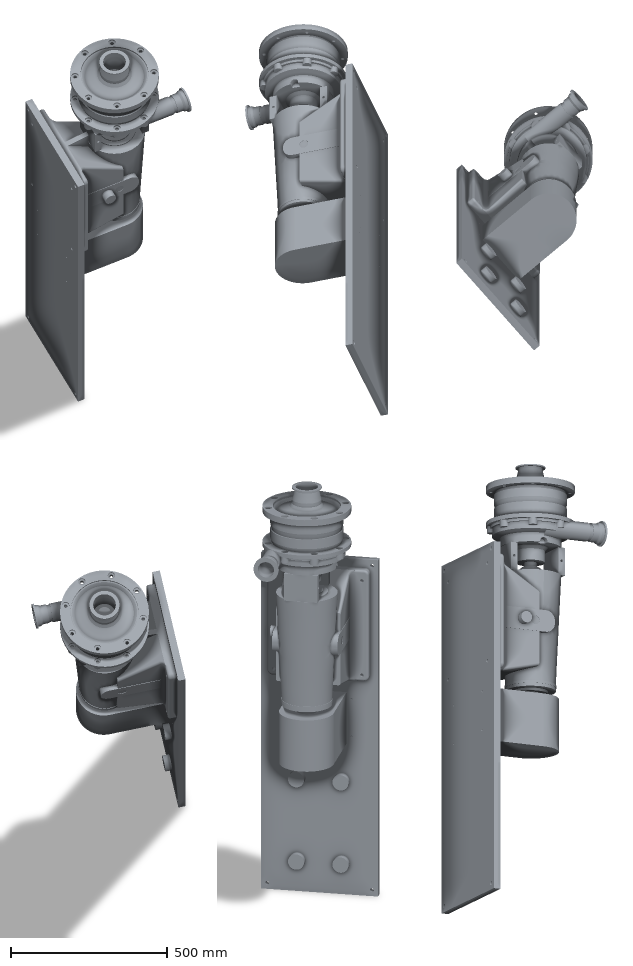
import cadquery as cq
import math


PLATE_WIDTH = 382.0
PLATE_HEIGHT = 1144.0
PLATE_THICKNESS = 23.0
PLATE_FACE_Y = -200.0
PLATE_BACK_Y = PLATE_FACE_Y - PLATE_THICKNESS

CORNER_HOLE_RADIUS = 6.5
CORNER_HOLE_X = 171.0
CORNER_HOLE_INSET_Z = 20.0

FOOT_HOLE_RADIUS = 6.0
FOOT_HOLE_X = 144.0
FOOT_HOLE_ZS = (759.0, 1080.0)

GUARD_HOLE_RADIUS = 3.0
GUARD_HOLE_X = 105.0
GUARD_HOLE_ZS = (538.0, 666.0)

GUARD_RADIUS = 89.0
GUARD_ARC_Y = 3.0
GUARD_BOTTOM_Z = 514.0
GUARD_TOP_Z = 688.0

PAD_RADIUS = 26.0
PAD_HEIGHT = 22.0
PAD_X = 73.0
PAD_ZS = (106.0, 386.0)

PUMP_TOP_Z = 1451.0
INLET_FLANGE_RADIUS = 48.0
INLET_FLANGE_THICKNESS = 5.0
INLET_NECK_RADIUS = 39.0
INLET_CONE_TOP_Z = 1441.0
INLET_CONE_BOTTOM_Z = 1409.0
INLET_BASE_RADIUS = 46.0
INLET_BORE_RADIUS = 36.0
INLET_BORE_DEPTH = 87.0
SHAFT_NUT_RADIUS = 20.0
SHAFT_NUT_HEIGHT = 15.0

FLANGE_RADIUS = 142.0
COVER_TOP_Z = 1387.0
COVER_BOTTOM_Z = 1367.0
HUB_RADIUS = 55.0
DISH_OUTER_RADIUS = 109.0
DISH_LEDGE_RADIUS = 105.0
DISH_LEDGE_DEPTH = 6.0
DISH_FLOOR_RADIUS = 95.0
DISH_DEPTH = 13.0

BODY_RADIUS = 118.0
BODY_NECK_RADIUS = 113.0
BODY_TOP_NECK_Z = 1357.0
BODY_UPPER_STEP_Z = 1330.0
BODY_JOINT_Z = 1312.0
BODY_LOWER_STEP_Z = 1280.0
CASING_FLANGE_TOP_Z = 1267.0
CASING_FLANGE_BOTTOM_Z = 1254.0
CASING_RIM_RADIUS = 130.0
CASING_RIM_BOTTOM_Z = 1245.0
CASING_RADIUS = 123.0
CASING_BOTTOM_Z = 1222.0

BOLT_COUNT = 8
BOLT_CIRCLE_RADIUS = 126.0
BOLT_HOLE_RADIUS = 6.0
COUNTERBORE_RADIUS = 12.0
COUNTERBORE_DEPTH = 6.0
LUG_RADIUS = 15.0
LUG_CIRCLE_RADIUS = 125.0
LUG_BOTTOM_Z = 1232.0

ADAPTER_RADIUS = 99.0
ADAPTER_TOP_Z = 1215.0
ADAPTER_BOTTOM_Z = 1184.0
NOTCH_RADIUS = 13.0
NOTCH_Z = 1187.0
NOTCH_DEPTH = 22.0
SEAL_COLLAR_RADIUS = 57.0
SEAL_RADIUS = 46.0
SEAL_CHAMFER_Z = 1174.0
SEAL_BOTTOM_Z = 1136.0
SHAFT_RADIUS = 20.0
BEARING_CAP_TOP_Z = 1120.0
BEARING_CAP_SHOULDER_Z = 1112.0
BEARING_CAP_TOP_RADIUS = 28.0
BEARING_CAP_RADIUS = 39.0
BEARING_CAP_STEP_RADIUS = 52.0
BEARING_CAP_RIM_RADIUS = 68.0
BEARING_CAP_STEP_HEIGHT = 5.0

BARREL_TOP_Z = 1093.0
BARREL_TOP_RADIUS = 99.0
BARREL_BOTTOM_Z = 731.0
BARREL_BOTTOM_RADIUS = 81.0
END_COVER_STEP_Z = 723.0
END_COVER_STEP_RADIUS = 83.0
END_COVER_BOTTOM_Z = 713.0
REAR_CAP_RADIUS = 57.0
REAR_CAP_BOTTOM_Z = 704.0
REAR_SEAL_RADIUS = 38.0
REAR_SEAL_BOTTOM_Z = 697.0
REAR_SEAL_TIP_RADIUS = 32.0

LEG_OUTER_Y = 96.0
LEG_THICKNESS = 23.0
LEG_WIDTH = 110.0
LEG_HOLE_RADIUS = 5.0
LEG_HOLE_Z = 1140.0

OUTLET_X = 90.0
OUTLET_Z = 1235.0
OUTLET_END_Y = 210.0
OUTLET_FLANGE_RADIUS = 40.0
OUTLET_FLANGE_THICKNESS = 6.0
OUTLET_MOUTH_RADIUS = 35.0
OUTLET_MOUTH_Y = 195.0
OUTLET_CONE_Y = 187.0
OUTLET_RADIUS = 30.0
OUTLET_GROOVE_RADIUS = 28.0
OUTLET_GROOVE_Y = (155.0, 167.0)
OUTLET_BORE_RADIUS = 26.0
OUTLET_BORE_DEPTH = 87.0

FOOT_HALF_WIDTH = 165.0
FOOT_FACE_Y = -173.0
FOOT_BOTTOM_Z = 739.0
FOOT_TOP_Z = 1115.0
FOOT_CORNER_RADIUS = 15.0
FOOT_EDGE_RADIUS = 7.0
PEDESTAL_HALF_WIDTH = 106.0
PEDESTAL_FRONT_Y = -20.0
PEDESTAL_FRONT_BOTTOM_Z = 775.0
PEDESTAL_FRONT_TOP_Z = 1022.0
PEDESTAL_EDGE_RADIUS = 7.0
PEDESTAL_BLEND_RADIUS = 15.0

EAR_OUTER_X = 107.0
EAR_FRONT_Y = 35.0
EAR_BACK_Y = -163.0
EAR_BOTTOM_Z = 887.0
EAR_TOP_Z = 958.0
EAR_CORNER_RADIUS = 32.0
EAR_HOLE_RADIUS = 15.0
EAR_HOLE_DEPTH = 22.0
EAR_HOLE_Y = -35.0

PLUG_RADIUS = 19.0
PLUG_OUTER_X = 134.0
PLUG_Y = -78.0

RIB_THICKNESS = 17.0
RIB_FRONT_Y = -87.0
RIB_TOP_Z = 1128.0


def block(x_range, y_range, z_range):
    """Box between the given limits on each axis."""
    return cq.Workplane("XY").box(
        x_range[1] - x_range[0], y_range[1] - y_range[0], z_range[1] - z_range[0], centered=False
    ).translate((x_range[0], y_range[0], z_range[0]))


def cylinder_along_x(start_x, end_x, radius, y, z):
    return cq.Workplane(
        cq.Solid.makeCylinder(radius, end_x - start_x, cq.Vector(start_x, y, z), cq.Vector(1, 0, 0))
    )


def cylinder_along_y(x, z, radius, start_y, end_y):
    return cq.Workplane(
        cq.Solid.makeCylinder(radius, end_y - start_y, cq.Vector(x, start_y, z), cq.Vector(0, 1, 0))
    )


def cylinder_along_z(x, y, radius, start_z, end_z):
    return cq.Workplane(
        cq.Solid.makeCylinder(radius, end_z - start_z, cq.Vector(x, y, start_z), cq.Vector(0, 0, 1))
    )


def mirrored_points(x, z_values):
    """Points at +x and -x for each height."""
    return [(side * x, z) for side in (-1, 1) for z in z_values]


def bolt_positions(circle_radius):
    """Points on a circle about the pump axis, half a pitch away from the X axis."""
    pitch = 2 * math.pi / BOLT_COUNT
    angles = [(index + 0.5) * pitch for index in range(BOLT_COUNT)]
    return [(circle_radius * math.cos(angle), circle_radius * math.sin(angle)) for angle in angles]


def make_guard():
    """Coupling guard with a half-round crown and straight sides down to the plate."""
    return (
        cq.Workplane("XY", origin=(0, 0, GUARD_BOTTOM_Z))
        .moveTo(-GUARD_RADIUS, PLATE_FACE_Y)
        .lineTo(GUARD_RADIUS, PLATE_FACE_Y)
        .lineTo(GUARD_RADIUS, GUARD_ARC_Y)
        .threePointArc((0, GUARD_ARC_Y + GUARD_RADIUS), (-GUARD_RADIUS, GUARD_ARC_Y))
        .close()
        .extrude(GUARD_TOP_Z - GUARD_BOTTOM_Z)
    )


def make_base():
    half_width = PLATE_WIDTH / 2
    base = block((-half_width, half_width), (PLATE_BACK_Y, PLATE_FACE_Y), (0, PLATE_HEIGHT))
    base = base.union(make_guard())
    for x, z in mirrored_points(PAD_X, PAD_ZS):
        base = base.union(cylinder_along_y(x, z, PAD_RADIUS, PLATE_FACE_Y, PLATE_FACE_Y + PAD_HEIGHT))

    corner_hole_zs = (CORNER_HOLE_INSET_Z, PLATE_HEIGHT - CORNER_HOLE_INSET_Z)
    hole_groups = (
        (CORNER_HOLE_X, corner_hole_zs, CORNER_HOLE_RADIUS),
        (FOOT_HOLE_X, FOOT_HOLE_ZS, FOOT_HOLE_RADIUS),
        (GUARD_HOLE_X, GUARD_HOLE_ZS, GUARD_HOLE_RADIUS),
    )
    for hole_x, hole_zs, radius in hole_groups:
        for x, z in mirrored_points(hole_x, hole_zs):
            base = base.cut(cylinder_along_y(x, z, radius, PLATE_BACK_Y, PLATE_FACE_Y))
    return base


def make_turned_core():
    """Everything round about the pump axis, from the inlet down to the rear bearing seal."""
    bore_floor_z = PUMP_TOP_Z - INLET_BORE_DEPTH
    rim_top_z = BARREL_TOP_Z + BEARING_CAP_STEP_HEIGHT
    step_top_z = rim_top_z + BEARING_CAP_STEP_HEIGHT
    profile = [
        (0, bore_floor_z + SHAFT_NUT_HEIGHT),
        (SHAFT_NUT_RADIUS, bore_floor_z + SHAFT_NUT_HEIGHT),
        (SHAFT_NUT_RADIUS, bore_floor_z),
        (INLET_BORE_RADIUS, bore_floor_z),
        (INLET_BORE_RADIUS, PUMP_TOP_Z),
        (INLET_FLANGE_RADIUS, PUMP_TOP_Z),
        (INLET_FLANGE_RADIUS, PUMP_TOP_Z - INLET_FLANGE_THICKNESS),
        (INLET_NECK_RADIUS, PUMP_TOP_Z - INLET_FLANGE_THICKNESS),
        (INLET_NECK_RADIUS, INLET_CONE_TOP_Z),
        (INLET_BASE_RADIUS, INLET_CONE_BOTTOM_Z),
        (INLET_BASE_RADIUS, COVER_TOP_Z + HUB_RADIUS - INLET_BASE_RADIUS),
        (HUB_RADIUS, COVER_TOP_Z),
        (DISH_FLOOR_RADIUS, COVER_TOP_Z - DISH_DEPTH),
        (DISH_LEDGE_RADIUS, COVER_TOP_Z - DISH_LEDGE_DEPTH),
        (DISH_OUTER_RADIUS, COVER_TOP_Z - DISH_LEDGE_DEPTH),
        (DISH_OUTER_RADIUS, COVER_TOP_Z),
        (FLANGE_RADIUS, COVER_TOP_Z),
        (FLANGE_RADIUS, COVER_BOTTOM_Z),
        (BODY_NECK_RADIUS, COVER_BOTTOM_Z),
        (BODY_NECK_RADIUS, BODY_TOP_NECK_Z),
        (BODY_RADIUS, BODY_TOP_NECK_Z),
        (BODY_RADIUS, BODY_UPPER_STEP_Z),
        (BODY_NECK_RADIUS, BODY_JOINT_Z),
        (BODY_RADIUS, BODY_JOINT_Z),
        (BODY_RADIUS, BODY_LOWER_STEP_Z),
        (BODY_NECK_RADIUS, CASING_FLANGE_TOP_Z),
        (FLANGE_RADIUS, CASING_FLANGE_TOP_Z),
        (FLANGE_RADIUS, CASING_FLANGE_BOTTOM_Z),
        (CASING_RIM_RADIUS, CASING_FLANGE_BOTTOM_Z),
        (CASING_RIM_RADIUS, CASING_RIM_BOTTOM_Z),
        (CASING_RADIUS, CASING_RIM_BOTTOM_Z),
        (CASING_RADIUS, CASING_BOTTOM_Z),
        (ADAPTER_RADIUS, ADAPTER_TOP_Z),
        (ADAPTER_RADIUS, ADAPTER_BOTTOM_Z),
        (SEAL_COLLAR_RADIUS, ADAPTER_BOTTOM_Z),
        (SEAL_RADIUS, SEAL_CHAMFER_Z),
        (SEAL_RADIUS, SEAL_BOTTOM_Z),
        (SHAFT_RADIUS, SEAL_BOTTOM_Z),
        (SHAFT_RADIUS, BEARING_CAP_TOP_Z),
        (BEARING_CAP_TOP_RADIUS, BEARING_CAP_TOP_Z),
        (BEARING_CAP_RADIUS, BEARING_CAP_SHOULDER_Z),
        (BEARING_CAP_RADIUS, step_top_z),
        (BEARING_CAP_STEP_RADIUS, step_top_z),
        (BEARING_CAP_STEP_RADIUS, rim_top_z),
        (BEARING_CAP_RIM_RADIUS, rim_top_z),
        (BEARING_CAP_RIM_RADIUS, BARREL_TOP_Z),
        (BARREL_TOP_RADIUS, BARREL_TOP_Z),
        (BARREL_BOTTOM_RADIUS, BARREL_BOTTOM_Z),
        (END_COVER_STEP_RADIUS, BARREL_BOTTOM_Z),
        (END_COVER_STEP_RADIUS, END_COVER_STEP_Z),
        (BARREL_BOTTOM_RADIUS, END_COVER_STEP_Z),
        (BARREL_BOTTOM_RADIUS, END_COVER_BOTTOM_Z),
        (REAR_CAP_RADIUS, END_COVER_BOTTOM_Z),
        (REAR_CAP_RADIUS, REAR_CAP_BOTTOM_Z),
        (REAR_SEAL_RADIUS, REAR_CAP_BOTTOM_Z),
        (REAR_SEAL_RADIUS, REAR_SEAL_BOTTOM_Z),
        (REAR_SEAL_TIP_RADIUS, REAR_SEAL_BOTTOM_Z),
        (REAR_SEAL_TIP_RADIUS, GUARD_TOP_Z),
        (0, GUARD_TOP_Z),
    ]
    return cq.Workplane("XZ").polyline(profile).close().revolve(360, (0, 0, 0), (0, 1, 0))


def cut_adapter_notches(pump):
    notch_floor_x = ADAPTER_RADIUS - NOTCH_DEPTH
    for start_x in (-ADAPTER_RADIUS, notch_floor_x):
        pump = pump.cut(cylinder_along_x(start_x, start_x + NOTCH_DEPTH, NOTCH_RADIUS, 0, NOTCH_Z))
    return pump


def make_leg(side):
    """Flat leg that ties the adapter to the barrel, with a cross hole."""
    half_width = LEG_WIDTH / 2
    inner_y = LEG_OUTER_Y - LEG_THICKNESS
    leg = block((-half_width, half_width), (inner_y, LEG_OUTER_Y), (BARREL_TOP_Z, ADAPTER_BOTTOM_Z))
    hole_y = LEG_OUTER_Y - LEG_THICKNESS / 2
    leg = leg.cut(cylinder_along_x(-half_width, half_width, LEG_HOLE_RADIUS, hole_y, LEG_HOLE_Z))
    return leg if side > 0 else leg.mirror("XZ")


def make_outlet():
    """Side outlet along +Y, turned about its own axis."""
    groove_start_y, groove_end_y = OUTLET_GROOVE_Y
    flange_back_y = OUTLET_END_Y - OUTLET_FLANGE_THICKNESS
    profile = [
        (0, 0),
        (OUTLET_RADIUS, 0),
        (OUTLET_RADIUS, groove_start_y),
        (OUTLET_GROOVE_RADIUS, groove_start_y),
        (OUTLET_GROOVE_RADIUS, groove_end_y),
        (OUTLET_RADIUS, groove_end_y),
        (OUTLET_RADIUS, OUTLET_CONE_Y),
        (OUTLET_MOUTH_RADIUS, OUTLET_MOUTH_Y),
        (OUTLET_MOUTH_RADIUS, flange_back_y),
        (OUTLET_FLANGE_RADIUS, flange_back_y),
        (OUTLET_FLANGE_RADIUS, OUTLET_END_Y),
        (0, OUTLET_END_Y),
    ]
    outlet = cq.Workplane("XY").polyline(profile).close().revolve(360, (0, 0, 0), (0, 1, 0))
    return outlet.translate((OUTLET_X, 0, OUTLET_Z))


def make_outlet_bore():
    floor_y = OUTLET_END_Y - OUTLET_BORE_DEPTH
    return cylinder_along_y(OUTLET_X, OUTLET_Z, OUTLET_BORE_RADIUS, floor_y, OUTLET_END_Y)


def make_foot_flange():
    flange = block(
        (-FOOT_HALF_WIDTH, FOOT_HALF_WIDTH), (PLATE_FACE_Y, FOOT_FACE_Y), (FOOT_BOTTOM_Z, FOOT_TOP_Z)
    )
    flange = flange.edges("|Y").fillet(FOOT_CORNER_RADIUS)
    flange = flange.faces(">Y").edges().fillet(FOOT_EDGE_RADIUS)
    for x, z in mirrored_points(FOOT_HOLE_X, FOOT_HOLE_ZS):
        flange = flange.cut(cylinder_along_y(x, z, FOOT_HOLE_RADIUS, PLATE_FACE_Y, FOOT_FACE_Y))
    return flange


def make_pedestal():
    """Block that flares into the foot flange and slopes at both ends towards the barrel."""
    blend_x = PEDESTAL_HALF_WIDTH + PEDESTAL_BLEND_RADIUS
    blend_y = FOOT_FACE_Y + PEDESTAL_BLEND_RADIUS
    arc_offset = PEDESTAL_BLEND_RADIUS * (1 - math.sqrt(0.5))
    arc_x = PEDESTAL_HALF_WIDTH + arc_offset
    arc_y = FOOT_FACE_Y + arc_offset
    flared_block = (
        cq.Workplane("XY", origin=(0, 0, FOOT_BOTTOM_Z))
        .moveTo(-blend_x, PLATE_FACE_Y)
        .lineTo(blend_x, PLATE_FACE_Y)
        .lineTo(blend_x, FOOT_FACE_Y)
        .threePointArc((arc_x, arc_y), (PEDESTAL_HALF_WIDTH, blend_y))
        .lineTo(PEDESTAL_HALF_WIDTH, PEDESTAL_FRONT_Y)
        .lineTo(-PEDESTAL_HALF_WIDTH, PEDESTAL_FRONT_Y)
        .lineTo(-PEDESTAL_HALF_WIDTH, blend_y)
        .threePointArc((-arc_x, arc_y), (-blend_x, FOOT_FACE_Y))
        .close()
        .extrude(FOOT_TOP_Z - FOOT_BOTTOM_Z)
    )
    side_outline = [
        (PLATE_FACE_Y, FOOT_BOTTOM_Z),
        (FOOT_FACE_Y, FOOT_BOTTOM_Z),
        (PEDESTAL_FRONT_Y, PEDESTAL_FRONT_BOTTOM_Z),
        (PEDESTAL_FRONT_Y, PEDESTAL_FRONT_TOP_Z),
        (FOOT_FACE_Y, FOOT_TOP_Z),
        (PLATE_FACE_Y, FOOT_TOP_Z),
    ]
    side_plane = cq.Workplane("YZ", origin=(-blend_x, 0, 0))
    side_prism = side_plane.polyline(side_outline).close().extrude(2 * blend_x)
    pedestal = flared_block.intersect(side_prism)
    return pedestal.edges("not (|X or |Y or |Z)").fillet(PEDESTAL_EDGE_RADIUS)


def make_ear(side):
    """Flat rounded plate on one flank of the pedestal, with a shallow hole."""
    ear = block((0, EAR_OUTER_X), (EAR_BACK_Y, EAR_FRONT_Y), (EAR_BOTTOM_Z, EAR_TOP_Z))
    ear = ear.edges("|X and >Y").fillet(EAR_CORNER_RADIUS)
    hole_z = (EAR_BOTTOM_Z + EAR_TOP_Z) / 2
    hole_floor_x = EAR_OUTER_X - EAR_HOLE_DEPTH
    hole = cylinder_along_x(hole_floor_x, EAR_OUTER_X, EAR_HOLE_RADIUS, EAR_HOLE_Y, hole_z)
    ear = ear.cut(hole)
    return ear if side > 0 else ear.mirror("YZ")


def make_plug():
    """Round plug on the +X flank of the pedestal."""
    plug_z = (EAR_BOTTOM_Z + EAR_TOP_Z) / 2
    return cylinder_along_x(0, PLUG_OUTER_X, PLUG_RADIUS, PLUG_Y, plug_z)


def make_rib():
    """Upright web on the centre line between the legs and the foot."""
    outline = [
        (RIB_FRONT_Y, PEDESTAL_FRONT_TOP_Z),
        (FOOT_FACE_Y, PEDESTAL_FRONT_TOP_Z),
        (FOOT_FACE_Y, FOOT_TOP_Z),
        (RIB_FRONT_Y, RIB_TOP_Z),
    ]
    return (
        cq.Workplane("YZ", origin=(-RIB_THICKNESS / 2, 0, 0))
        .polyline(outline)
        .close()
        .extrude(RIB_THICKNESS)
    )


def add_lugs(pump):
    """Round lugs hanging below the casing flange, one per bolt."""
    for x, y in bolt_positions(LUG_CIRCLE_RADIUS):
        pump = pump.union(cylinder_along_z(x, y, LUG_RADIUS, LUG_BOTTOM_Z, CASING_FLANGE_BOTTOM_Z))
    return pump


def cut_bolt_holes(pump, bottom_z, top_z):
    """Counterbored holes through the flange that lies between the two heights."""
    for x, y in bolt_positions(BOLT_CIRCLE_RADIUS):
        pump = pump.cut(cylinder_along_z(x, y, BOLT_HOLE_RADIUS, bottom_z, top_z))
        pump = pump.cut(cylinder_along_z(x, y, COUNTERBORE_RADIUS, top_z - COUNTERBORE_DEPTH, top_z))
    return pump


def make_pump():
    pump = add_lugs(make_turned_core())
    pump = cut_bolt_holes(pump, COVER_BOTTOM_Z, COVER_TOP_Z)
    pump = cut_bolt_holes(pump, CASING_FLANGE_BOTTOM_Z, CASING_FLANGE_TOP_Z)
    pump = cut_adapter_notches(pump)
    pump = pump.union(make_outlet())
    pump = pump.cut(make_outlet_bore())
    pump = pump.union(make_foot_flange())
    pump = pump.union(make_pedestal())
    for side in (-1, 1):
        pump = pump.union(make_leg(side))
        pump = pump.union(make_ear(side))
    pump = pump.union(make_plug())
    return pump.union(make_rib())


base = make_base()
pump = make_pump()
result = cq.Compound.makeCompound([base.val(), pump.val()])